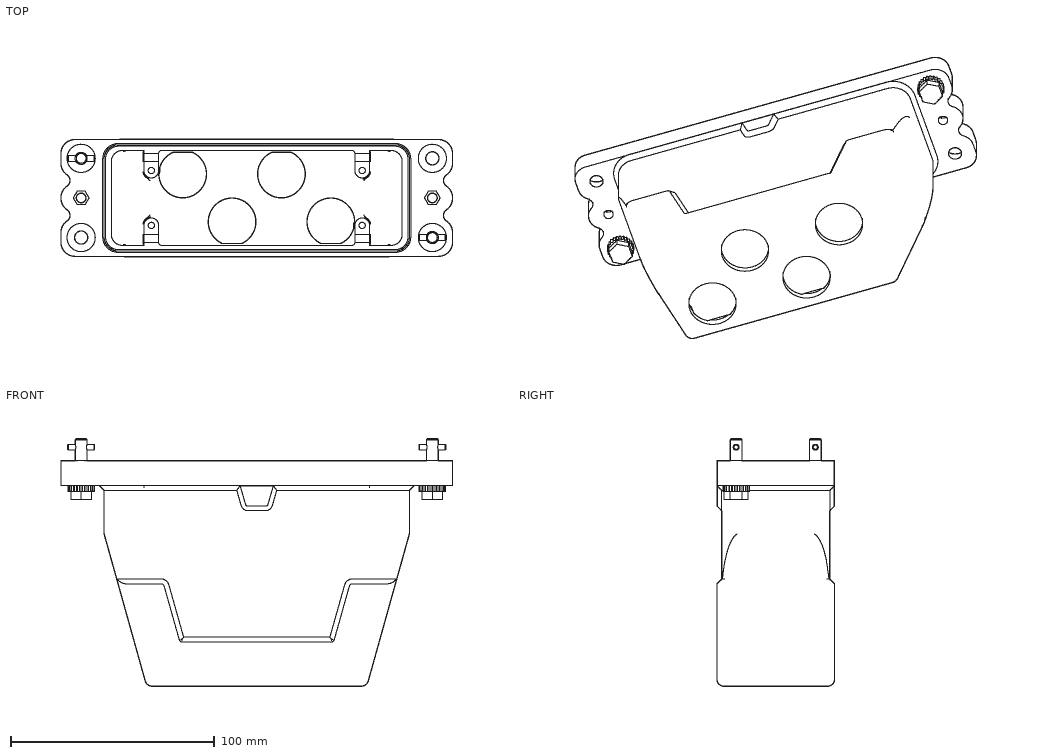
import cadquery as cq
import math


flange_length = 193.0
flange_width = 57.7
flange_height = 12.4
lobe_radius = 7.1
notch_radius = 3.3
inner_lobe_y = 17.2
bolt_x = 86.5
bolt_y = 19.5
bolt_seat_diameter = 13.9
bolt_hole_diameter = 6.4
bolt_pocket_depth = 10.5
nut_pocket_size = 7.7
nut_pocket_depth = 5.8
nut_hole_diameter = 4.6

body_length = 150.5
body_width = 53.3
body_height = 111.2
body_corner = 8.9
taper_start = 35.9
base_length = 108.5
collar_size = 2.3
bevel_angle = 45

band_width = 58.0
band_top = 58.3
band_edge_fillet = 3.9
band_base_fillet = 3.7
window_corner = 1.5
window_shoulder_x = 46.0
window_floor_x = 37.8
window_floor = 89.4
tab_top = 9.3
tab_bottom = 24.7
tab_top_x = 11.4
tab_bottom_x = 7.0
tab_corner = 3.5

rim_length = 151.7
rim_width = 53.7
rim_corner = 7.7
rim_inset = 0.68
rim_slope_height = 2.7
rim_straight_height = 3.7

cavity_length = 143.2
cavity_width = 46.7
cavity_corner = 5.5
floor_thickness = 3.5
cavity_draft = 0.5
cavity_knee_x = 70.0
cavity_knee_depth = 41.3
cavity_knee_fillet = 14.5
cavity_base_length = 106.5
cavity_floor_fillet = 1.0
cable_hole_diameter = 23.4
cable_hole_pitch = 24.3
cable_hole_y = 11.8

post_x = 52.0
post_y = 13.5
post_width = 7.1
post_top = 20.8
post_draft = 0.4
post_hole_diameter = 3.0
post_hole_depth = 15.5
web_slope_outer_y = 22.0
web_slope_inner_y = 18.0
web_slope_height = 5.6
web_root_fillet = 1.5

pin_diameter = 6.0
pin_top = 10.8
pin_chamfer = 0.5
cross_pin_diameter = 2.9
cross_pin_length = 13.3
cross_pin_z = 6.5
cross_pin_chamfer = 0.4
washer_radius = 6.5
washer_root_radius = 6.0
washer_teeth = 24
washer_thickness = 2.9
bolt_head_flats = 10.2
bolt_head_bottom = 19.3

ledge_z = -(2 * rim_slope_height + rim_straight_height)
floor_z = floor_thickness - body_height
bolt_places = [(-bolt_x, bolt_y), (bolt_x, -bolt_y)]
open_places = [(-bolt_x, -bolt_y), (bolt_x, bolt_y)]


def rounded_block(length, width, corner, top, height, taper=0):
    """Rounded rectangle extruded down from top; a positive taper narrows it downward."""
    outline = cq.Sketch().rect(length, width).vertices().fillet(corner)
    block = cq.Workplane("XY").placeSketch(outline).extrude(-height, taper=taper)
    return block.translate((0, 0, top))


def end_profile(side, half_width):
    """Prism along Y, symmetric about X = 0; side lists (x, z) points of the +X end, top first."""
    points = side + [(-x, z) for x, z in reversed(side)]
    return cq.Workplane("XZ").polyline(points).close().extrude(half_width, both=True)


def body_ends():
    """Prism with the outer end faces: vertical, then sloping inward to the base."""
    half_length = body_length / 2
    side = [(half_length, 0), (half_length, -taper_start), (base_length / 2, -body_height)]
    return end_profile(side, band_width / 2)


def make_flange():
    """Plate whose ends have three round lobes joined by concave notches tangent to them."""
    lobe_x = flange_length / 2 - lobe_radius
    outer_lobe_y = flange_width / 2 - lobe_radius
    lobe_y = (inner_lobe_y + outer_lobe_y) / 2
    notch_y = inner_lobe_y / 2
    center_gap = lobe_radius + notch_radius
    notch_dx = math.sqrt(center_gap**2 - notch_y**2)
    tangent_x = lobe_x + notch_dx * lobe_radius / center_gap
    ends = [(-lobe_x, 0), (lobe_x, 0)]
    corners = [(x, side * lobe_y) for x, _ in ends for side in (-1, 1)]
    notches = [(side * (lobe_x + notch_dx), y) for side in (-1, 1) for y in (-notch_y, notch_y)]
    slot_length = outer_lobe_y - inner_lobe_y + 2 * lobe_radius
    base = cq.Workplane("XY")
    plate = base.rect(2 * lobe_x, flange_width).extrude(-flange_height)
    webs = base.rect(2 * tangent_x, 2 * inner_lobe_y).extrude(-flange_height)
    webs = webs.cut(base.pushPoints(notches).circle(notch_radius).extrude(-flange_height))
    center_lobes = base.pushPoints(ends).circle(lobe_radius).extrude(-flange_height)
    corner_lobes = base.pushPoints(corners).slot2D(slot_length, 2 * lobe_radius, 90).extrude(-flange_height)
    return plate.union(webs).union(center_lobes).union(corner_lobes)


def make_body():
    """Rounded box trimmed by the sloped ends, with a flared collar where it meets the flange."""
    body = rounded_block(body_length, body_width, body_corner, -flange_height, band_top - flange_height)
    collar = rounded_block(
        body_length + 2 * collar_size,
        body_width + 2 * collar_size,
        body_corner + collar_size,
        -flange_height,
        collar_size,
        taper=bevel_angle,
    )
    return body.intersect(body_ends()).union(collar)


def make_band():
    """Thicker lower part; a bevelled window on each long side opens down to the body wall."""
    band = body_ends().cut(cq.Workplane("XY").rect(body_length, band_width).extrude(-band_top))
    band = band.edges("not(#Z or |X or |Y)").fillet(band_edge_fillet)
    band = band.faces("<Z").edges().fillet(band_base_fillet)
    bevel = (band_width - body_width) / 2
    shoulder_z = -band_top - bevel
    corners = [(window_shoulder_x, shoulder_z), (window_floor_x, -window_floor)]
    half = [(body_length / 2, 0), (body_length / 2, shoulder_z)] + corners
    outline = half + [(-x, z) for x, z in reversed(half)]
    shape = cq.Sketch().polygon(outline + outline[:1])
    shape = shape.vertices("not(<X or >X)").fillet(window_corner)
    window = cq.Workplane("XZ", origin=(0, -band_width / 2, 0)).placeSketch(shape)
    window = window.extrude(-bevel, taper=bevel_angle)
    return band.cut(window).cut(window.mirror("XZ"))


def make_tabs():
    """Rounded trapezoid tab under the flange on each long side, with a bevelled rim."""
    depth = (flange_width - body_width) / 2
    outline = [
        (-tab_top_x, -tab_top),
        (tab_top_x, -tab_top),
        (tab_bottom_x, -tab_bottom),
        (-tab_bottom_x, -tab_bottom),
    ]
    shape = cq.Sketch().polygon(outline + outline[:1]).vertices("<Y").fillet(tab_corner)
    tab = cq.Workplane("XZ", origin=(0, -body_width / 2, 0)).placeSketch(shape).extrude(depth, taper=bevel_angle)
    return tab.union(tab.mirror("XZ"))


def make_rim_recess():
    """Stepped recess from the flange top down to the ledge around the cavity."""
    recess = None
    depth = 0
    inset = 0
    slope = math.degrees(math.atan(rim_inset / rim_slope_height))
    for height, taper in ((rim_slope_height, slope), (rim_straight_height, 0), (rim_slope_height, slope)):
        step = rounded_block(
            rim_length - 2 * inset, rim_width - 2 * inset, rim_corner - inset, -depth, height, taper
        )
        recess = step if recess is None else recess.union(step)
        depth += height
        if taper:
            inset += rim_inset
    return recess


def make_cavity():
    """Cavity with drafted long walls, end walls that slope in below a soft knee, and rounded corners."""
    top_y = cavity_width / 2
    floor_y = top_y + floor_z * math.tan(math.radians(cavity_draft))
    knee = (cavity_knee_x, -cavity_knee_depth)
    side = [(cavity_length / 2, ledge_z), knee, (cavity_base_length / 2, floor_z)]
    ends = end_profile(side, top_y)
    ends = ends.edges("|Y").edges("not(<Z or >Z)").fillet(cavity_knee_fillet)
    section = [(-top_y, ledge_z), (top_y, ledge_z), (floor_y, floor_z), (-floor_y, floor_z)]
    walls = cq.Workplane("YZ").polyline(section).close().extrude(cavity_length / 2, both=True)
    return ends.intersect(walls).edges("not(|X or |Y)").fillet(cavity_corner)


def make_post():
    """Drafted screw post in the +X, +Y corner, joined to the wall by a web with a sloped top."""
    height = ledge_z - floor_z
    web_length = cavity_width / 2 + floor_thickness / 2 - post_y
    top_outline = cq.Sketch().push([(0, web_length / 2)]).rect(post_width, web_length).reset()
    top_outline = top_outline.push([(0, 0)]).circle(post_width / 2).clean()
    post = cq.Workplane("XY").placeSketch(top_outline).extrude(-height, taper=-post_draft)
    post = post.translate((post_x, post_y, ledge_z))
    slope_bottom = ledge_z - web_slope_height
    clearance = [
        (0, 0),
        (web_slope_outer_y, 0),
        (web_slope_outer_y, ledge_z),
        (web_slope_inner_y, slope_bottom),
        (web_slope_inner_y, -post_top),
        (0, -post_top),
    ]
    clearance = cq.Workplane("YZ").polyline(clearance).close().extrude(flange_length / 2)
    hole = cq.Workplane("XY", origin=(post_x, post_y, -post_top)).circle(post_hole_diameter / 2)
    return post.cut(clearance).cut(hole.extrude(-post_hole_depth))


def cavity_with_posts():
    """Cavity minus a post in each corner, with rounded inner web roots and floor edges."""
    cavity = make_cavity()
    post = make_post()
    for corner_post in (post, post.mirror("YZ"), post.mirror("XZ"), post.mirror("YZ").mirror("XZ")):
        cavity = cavity.cut(corner_post)
    root_y = (post_y + cavity_width / 2) / 2
    for low_y, high_y in ((-cavity_width, -root_y), (root_y, cavity_width)):
        roots = cq.selectors.BoxSelector((-post_x, low_y, floor_z + post_width), (post_x, high_y, -post_top))
        cavity = cavity.edges(roots).fillet(web_root_fillet)
    return cavity.faces("<Z").edges().fillet(cavity_floor_fillet)


def make_cable_holes():
    """Four holes through the floor, alternating between the two long sides."""
    places = [((i - 1.5) * cable_hole_pitch, cable_hole_y * (-1) ** i) for i in range(4)]
    floor = cq.Workplane("XY", origin=(0, 0, -body_height))
    depth = floor_thickness + cavity_floor_fillet
    return floor.pushPoints(places).circle(cable_hole_diameter / 2).extrude(depth)


def make_flange_holes():
    """Funnel holes in two corners, bolt pockets in the other two and a nut pocket at each end."""
    seat_radius = bolt_seat_diameter / 2
    hole_radius = bolt_hole_diameter / 2
    funnel = cq.Solid.makeCone(hole_radius, seat_radius, flange_height)
    base = cq.Workplane("XY")
    holes = base.pushPoints(bolt_places).circle(seat_radius).extrude(-bolt_pocket_depth)
    for x, y in open_places:
        holes = holes.add(funnel.translate(cq.Vector(x, y, -flange_height)))
    nut_places = base.pushPoints([(-bolt_x, 0), (bolt_x, 0)])
    holes = holes.add(nut_places.polygon(6, nut_pocket_size).extrude(-nut_pocket_depth))
    holes = holes.add(nut_places.circle(nut_hole_diameter / 2).extrude(-flange_height))
    return holes.combine()


def make_bolt():
    """Locking bolt: chamfered pin with a cross pin, toothed washer and hexagonal head."""
    shank_bottom = -flange_height - washer_thickness
    shank = cq.Workplane("XY", origin=(0, 0, shank_bottom)).circle(pin_diameter / 2)
    shank = shank.extrude(pin_top - shank_bottom).faces(">Z").chamfer(pin_chamfer)
    cross_pin = cq.Workplane("YZ", origin=(0, 0, cross_pin_z)).circle(cross_pin_diameter / 2)
    cross_pin = cross_pin.extrude(cross_pin_length / 2, both=True)
    cross_pin = cross_pin.faces(">X or <X").chamfer(cross_pin_chamfer)
    teeth = []
    for i in range(2 * washer_teeth):
        angle = math.pi * i / washer_teeth
        radius = washer_root_radius if i % 2 else washer_radius
        teeth.append((radius * math.cos(angle), radius * math.sin(angle)))
    washer = cq.Workplane("XY", origin=(0, 0, -flange_height)).polyline(teeth).close()
    washer = washer.extrude(-washer_thickness)
    head = cq.Workplane("XY", origin=(0, 0, shank_bottom))
    head = head.polygon(6, bolt_head_flats, circumscribed=True).extrude(-bolt_head_bottom - shank_bottom)
    return shank.union(cross_pin).union(washer).union(head)


housing = make_flange().union(make_body()).union(make_band()).union(make_tabs())
housing = housing.cut(make_rim_recess()).cut(cavity_with_posts())
housing = housing.cut(make_cable_holes()).cut(make_flange_holes())

for x, y in bolt_places:
    housing = housing.union(make_bolt().translate((x, y, 0)))

result = housing